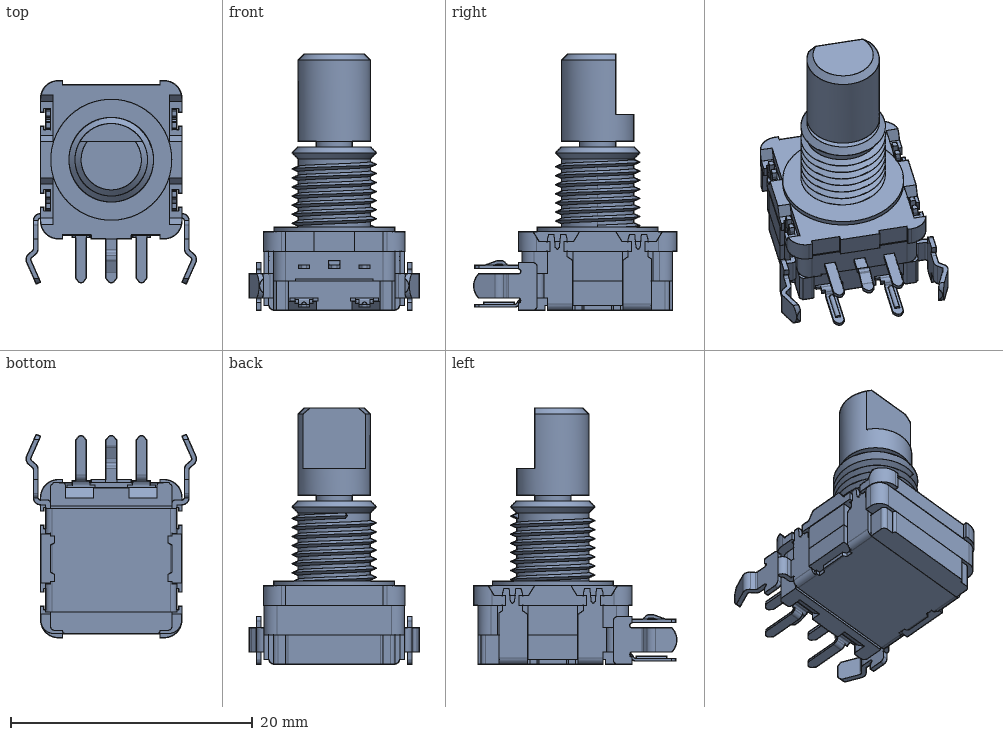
import cadquery as cq
import math

TOTAL_HEIGHT = 21.2
SHAFT_SHOULDER_Z = 13.97
BUSHING_TOP_Z = 13.53
DISC_TOP_Z = 6.9
FLANGE_TOP_Z = 6.5
FLANGE_BOTTOM_Z = 4.88
CASE_SPLIT_Z = 2.44

SHAFT_DIAMETER = 6.0
NECK_DIAMETER = 3.0
SHAFT_CHAMFER = 0.5
FLAT_Y = 1.5
FLAT_BOTTOM_Z = 16.2

THREAD_ROOT_RADIUS = SHAFT_DIAMETER / 2
THREAD_CREST_RADIUS = 3.5
THREAD_TURNS = 7.3
THREAD_HEIGHT = 5.47
THREAD_PITCH = THREAD_HEIGHT / THREAD_TURNS
THREAD_START_Z = 6.83
THREAD_BASE_WIDTH = 0.5
THREAD_EMBED = 0.06

DISC_DIAMETER = 10.0
FLANGE_HALF_X = 5.85
FLANGE_HALF_Y = 6.55
FLANGE_CORNER_RADIUS = 1.5
NOTCH_HALF_X = 4.03
BACK_NOTCH_Y = 6.21
FRONT_NOTCH_Y = -6.17
FRONT_TAB_HALF_X = 1.65

POCKET_INNER_X = 4.83
POCKET_FLOOR_Z = 5.68
POCKET_Y = (1.5, 5.35)
POCKET_SLOPE_RUN = 0.5
SLOT_OUTER_Y = (2.78, 3.92)
SLOT_INNER_Y = (2.48, 4.22)
SLOT_LIP_X = 5.58

SHEET = 0.4
BEND_OUTER_DIAMETER = 1.2
BEND_MID_RADIUS = (BEND_OUTER_DIAMETER - SHEET) / 2
ARM_OUTER_X = 5.43
ARM_INNER_X = ARM_OUTER_X - SHEET
ARM_INNER_Y = 2.08
BACK_ARM_Y = 4.43
FRONT_ARM_Y = -4.15
CURL_RADIUS = 0.5
CLAW_Y = (2.52, 4.15)
CLAW_TOP_Z = 6.28
CLAW_CHAMFER_Y = 0.1
CLAW_CHAMFER_Z = 0.38
CLAW_NOTCH_HALF_TOP = 0.28
CLAW_NOTCH_HALF_BOTTOM = 0.17
CLAW_NOTCH_Z = 5.22
CLAW_NOTCH_TIP = 0.2
SHOULDER_Z = 4.45
SHOULDER_DROP = 0.32
OUTER_SHOULDER_DROP = 0.2
RELIEF_Y = (1.12, 1.89)
RELIEF_SLANT = 0.17
RELIEF_DEPTH = 0.32

FOOT_OUTER_X = 6.45
FOOT_MID_X = FOOT_OUTER_X - SHEET / 2
FOOT_Y = (-6.55, -5.0)
FOOT_TOP_Z = 3.96
FOOT_CORNER_RADIUS = 0.38
LEG_Z = (1.02, 3.03)
LEG_TIP_Y = -10.26
LEG_TIP_START_Y = -9.84
LEG_KINK_Y = -7.55
LEG_ELBOW = (6.93, -8.15)
LEG_END = (6.02, -10.2)
STRAP_Y = -4.65
ARM_CORNER_RADIUS = 0.28
LEG_RELIEF_DIAMETER = 0.38

CASE_FRONT_Y = -6.28
CASE_BACK_Y = 6.2
CASE_CORNER_RADIUS = 1.0
PANEL_HALF_X = 5.8
PANEL_HALF_Y = 2.04
WIDE_BACK_Y = 4.58
WIDE_BACK_CORNER_RADIUS = 1.05
BASE_CHANNEL_Y = (-4.35, BACK_ARM_Y)
EDGE_NOTCH_HALF_X = 3.22
EDGE_NOTCH_DEPTH = 0.42
EDGE_NOTCH_HEIGHT = 0.15

FACE_HALF_X = 3.8
FACE_RECESS = 0.4
RECESSED_FACE_Y = CASE_FRONT_Y + FACE_RECESS
FACE_EDGE_RADIUS = 0.23
FRONT_CORNER_CHAMFER = 0.25
BACK_CORNER_Y = 5.94
BACK_CORNER_RADIUS = 0.35
BACK_RAISED_HALF_X = 4.03
BACK_RAISED_RADIUS = 0.21

PIN_SPACING = 2.5
OUTER_PIN_WIDTH = 0.9
MIDDLE_PIN_WIDTH = 0.93
PIN_TIP_Y = -10.18
PIN_TAPER_Y = -9.8
PIN_NOSE_Y = -10.1
PIN_NOSE_HALF = 0.21
PIN_ROOT_Y = -5.72
UPPER_PIN_Z = 3.6
UPPER_PIN_THICKNESS = 0.3
KINK_RISE = 0.35
KINK_RAMP_Y = (-7.5, -7.87)
KINK_FALL_Y = (-8.3, -9.29)
KINK_RADIUS = 0.17
LOWER_PIN_BEND_RADIUS = 0.38
LOWER_PIN_Z = 0.38
LOWER_PIN_THICKNESS = 0.23
LOWER_PIN_ROOT_Z = 0.9
LOWER_PIN_SLOPE_Y = (-6.35, -6.7)
RIB_Y = (-9.43, -6.9)
RIB_RADIUS = 0.21
RIB_TOP_Z = 0.68
TAB_HALF_X = 1.15
TAB_FRONT_Y = -6.08
TONGUE_HALF_X = 0.75
TONGUE_FRONT_Y = -6.45
PIN_RECESS_X = (1.48, FACE_HALF_X)
PIN_RECESS_TOP_Z = 0.72
PIN_RECESS_DEPTH = 0.85


def block(x, y, z):
    """Box between the given (low, high) limits."""
    size = [high - low for low, high in (x, y, z)]
    return cq.Workplane("XY").box(*size, centered=False).translate((x[0], y[0], z[0]))


def both_sides(shape):
    """Join a shape on the +X side with its mirror image on the -X side."""
    return shape.union(shape.mirror("YZ"))


def rounded_path(plane, points, radius):
    """Polyline whose inner corners are rounded by tangent arcs."""
    path = cq.Workplane(plane).moveTo(*points[0])
    for before, corner, after in zip(points, points[1:], points[2:]):
        heading_in = math.atan2(corner[1] - before[1], corner[0] - before[0])
        heading_out = math.atan2(after[1] - corner[1], after[0] - corner[0])
        turn = math.remainder(heading_out - heading_in, 2 * math.pi)
        setback = radius * math.tan(abs(turn) / 2)
        arc_start = (corner[0] - setback * math.cos(heading_in), corner[1] - setback * math.sin(heading_in))
        arc_end = (corner[0] + setback * math.cos(heading_out), corner[1] + setback * math.sin(heading_out))
        path = path.lineTo(*arc_start).tangentArcPoint(arc_end, relative=False)
    return path.lineTo(*points[-1])


def make_shaft():
    knob = (
        cq.Workplane("XY", origin=(0, 0, SHAFT_SHOULDER_Z))
        .circle(SHAFT_DIAMETER / 2)
        .extrude(TOTAL_HEIGHT - SHAFT_SHOULDER_Z)
        .faces(">Z")
        .chamfer(SHAFT_CHAMFER)
    )
    beyond_flat = block(
        (-SHAFT_DIAMETER, SHAFT_DIAMETER), (FLAT_Y, SHAFT_DIAMETER), (FLAT_BOTTOM_Z, TOTAL_HEIGHT)
    )
    stem = (
        cq.Workplane("XY", origin=(0, 0, FLANGE_BOTTOM_Z))
        .circle(NECK_DIAMETER / 2)
        .extrude(SHAFT_SHOULDER_Z - FLANGE_BOTTOM_Z)
    )
    return knob.cut(beyond_flat).union(stem)


def make_thread():
    inner = THREAD_ROOT_RADIUS - THREAD_EMBED
    half = THREAD_BASE_WIDTH / 2
    helix = cq.Wire.makeHelix(THREAD_PITCH, THREAD_HEIGHT, THREAD_ROOT_RADIUS)
    ridge = (
        cq.Workplane("XZ")
        .polyline([(inner, -half), (THREAD_CREST_RADIUS, 0), (inner, half)])
        .close()
        .sweep(cq.Workplane(helix), isFrenet=True)
    )
    return ridge.translate((0, 0, THREAD_START_Z))


def make_tube():
    crest_height = THREAD_CREST_RADIUS - THREAD_ROOT_RADIUS
    return (
        cq.Workplane("XZ")
        .polyline(
            [
                (0, FLANGE_BOTTOM_Z),
                (THREAD_ROOT_RADIUS, FLANGE_BOTTOM_Z),
                (THREAD_ROOT_RADIUS, BUSHING_TOP_Z - 2 * crest_height),
                (THREAD_CREST_RADIUS, BUSHING_TOP_Z - crest_height),
                (THREAD_ROOT_RADIUS, BUSHING_TOP_Z),
                (0, BUSHING_TOP_Z),
            ]
        )
        .close()
        .revolve(360, (0, 0, 0), (0, 1, 0))
    )


def make_claw_pocket():
    """Sloped-end pocket and T-shaped slot at the +X, +Y corner."""
    low, high = POCKET_Y
    pocket = (
        cq.Workplane("YZ", origin=(POCKET_INNER_X, 0, 0))
        .polyline(
            [
                (low, FLANGE_TOP_Z),
                (low + POCKET_SLOPE_RUN, POCKET_FLOOR_Z),
                (high - POCKET_SLOPE_RUN, POCKET_FLOOR_Z),
                (high, FLANGE_TOP_Z),
            ]
        )
        .close()
        .extrude(FLANGE_HALF_X - POCKET_INNER_X)
    )
    slot_z = (FLANGE_BOTTOM_Z, FLANGE_TOP_Z)
    inner_slot = block((ARM_INNER_X, SLOT_LIP_X), SLOT_INNER_Y, slot_z)
    outer_slot = block((SLOT_LIP_X, FLANGE_HALF_X), SLOT_OUTER_Y, slot_z)
    return pocket.union(inner_slot).union(outer_slot)


def make_bushing():
    flange_z = (FLANGE_BOTTOM_Z, FLANGE_TOP_Z)
    flange = (
        block((-FLANGE_HALF_X, FLANGE_HALF_X), (-FLANGE_HALF_Y, FLANGE_HALF_Y), flange_z)
        .edges("|Z")
        .fillet(FLANGE_CORNER_RADIUS)
    )
    back_notch = block((-NOTCH_HALF_X, NOTCH_HALF_X), (BACK_NOTCH_Y, FLANGE_HALF_Y), flange_z)
    front_notch = block((FRONT_TAB_HALF_X, NOTCH_HALF_X), (-FLANGE_HALF_Y, FRONT_NOTCH_Y), flange_z)
    pockets = both_sides(make_claw_pocket())
    pockets = pockets.union(pockets.mirror("XZ"))
    disc = (
        cq.Workplane("XY", origin=(0, 0, FLANGE_TOP_Z))
        .circle(DISC_DIAMETER / 2)
        .extrude(DISC_TOP_Z - FLANGE_TOP_Z)
    )
    bore = (
        cq.Workplane("XY", origin=(0, 0, FLANGE_BOTTOM_Z))
        .circle(NECK_DIAMETER / 2)
        .extrude(BUSHING_TOP_Z - FLANGE_BOTTOM_Z)
    )
    flange = flange.cut(back_notch).cut(both_sides(front_notch)).cut(pockets)
    return flange.union(disc).union(make_tube()).union(make_thread()).cut(bore)


def pin_outline(width):
    """Plan prism of a terminal with a tapered, rounded nose."""
    half = width / 2
    return (
        cq.Workplane("XY")
        .moveTo(-half, PIN_ROOT_Y)
        .lineTo(-half, PIN_TAPER_Y)
        .lineTo(-PIN_NOSE_HALF, PIN_NOSE_Y)
        .threePointArc((0, PIN_TIP_Y), (PIN_NOSE_HALF, PIN_NOSE_Y))
        .lineTo(half, PIN_TAPER_Y)
        .lineTo(half, PIN_ROOT_Y)
        .close()
        .extrude(FLANGE_BOTTOM_Z)
    )


def bent_strip(points, width, thickness, bend_radius):
    """Flat strip centred on X, bent along (y, z) points; the radius is that of its mid-plane."""
    return (
        cq.Workplane("XZ", origin=(0, points[0][0], points[0][1]))
        .rect(width, thickness)
        .sweep(rounded_path("YZ", points, bend_radius))
    )


def make_straight_pin():
    points = [(PIN_ROOT_Y, UPPER_PIN_Z), (PIN_TIP_Y, UPPER_PIN_Z)]
    strip = bent_strip(points, OUTER_PIN_WIDTH, UPPER_PIN_THICKNESS, KINK_RADIUS)
    return strip.intersect(pin_outline(OUTER_PIN_WIDTH))


def make_kinked_pin():
    top_z = UPPER_PIN_Z + KINK_RISE
    points = [
        (PIN_ROOT_Y, UPPER_PIN_Z),
        (KINK_RAMP_Y[0], UPPER_PIN_Z),
        (KINK_RAMP_Y[1], top_z),
        (KINK_FALL_Y[0], top_z),
        (KINK_FALL_Y[1], UPPER_PIN_Z),
        (PIN_TIP_Y, UPPER_PIN_Z),
    ]
    strip = bent_strip(points, MIDDLE_PIN_WIDTH, UPPER_PIN_THICKNESS, KINK_RADIUS)
    return strip.intersect(pin_outline(MIDDLE_PIN_WIDTH))


def make_lower_pin():
    points = [
        (PIN_ROOT_Y, LOWER_PIN_ROOT_Z),
        (LOWER_PIN_SLOPE_Y[0], LOWER_PIN_ROOT_Z),
        (LOWER_PIN_SLOPE_Y[1], LOWER_PIN_Z),
        (PIN_TIP_Y, LOWER_PIN_Z),
    ]
    rib = (
        cq.Workplane("XZ", origin=(0, RIB_Y[1], RIB_TOP_Z - RIB_RADIUS))
        .circle(RIB_RADIUS)
        .extrude(RIB_Y[1] - RIB_Y[0])
        .intersect(block((-RIB_RADIUS, RIB_RADIUS), RIB_Y, (LOWER_PIN_Z, RIB_TOP_Z)))
    )
    half_sheet = LOWER_PIN_THICKNESS / 2
    tab = block(
        (-TAB_HALF_X, TAB_HALF_X),
        (TAB_FRONT_Y, PIN_ROOT_Y),
        (LOWER_PIN_ROOT_Z - half_sheet, LOWER_PIN_ROOT_Z + half_sheet),
    )
    tongue_limits = block(
        (-TONGUE_HALF_X, TONGUE_HALF_X), (TONGUE_FRONT_Y, PIN_ROOT_Y), (0, CASE_SPLIT_Z)
    )
    strip = bent_strip(points, 2 * TONGUE_HALF_X, LOWER_PIN_THICKNESS, LOWER_PIN_BEND_RADIUS)
    pin = strip.intersect(pin_outline(OUTER_PIN_WIDTH).union(tongue_limits))
    return pin.union(rib).union(tab)


def make_upper_case():
    case_z = (CASE_SPLIT_Z, FLANGE_BOTTOM_Z)
    case = (
        block((-ARM_INNER_X, ARM_INNER_X), (CASE_FRONT_Y, WIDE_BACK_Y), case_z)
        .edges("|Z and <Y")
        .fillet(CASE_CORNER_RADIUS)
    )
    panels = block((-PANEL_HALF_X, PANEL_HALF_X), (-PANEL_HALF_Y, PANEL_HALF_Y), case_z)
    wide_back = (
        block((-PANEL_HALF_X, PANEL_HALF_X), (WIDE_BACK_Y, CASE_BACK_Y), case_z)
        .edges("|Z and >Y")
        .fillet(WIDE_BACK_CORNER_RADIUS)
    )
    edge_notch = block(
        (-EDGE_NOTCH_HALF_X, EDGE_NOTCH_HALF_X),
        (CASE_FRONT_Y, CASE_FRONT_Y + EDGE_NOTCH_DEPTH),
        (CASE_SPLIT_Z, CASE_SPLIT_Z + EDGE_NOTCH_HEIGHT),
    )
    case = case.union(panels).union(wide_back).cut(edge_notch).union(make_kinked_pin())
    return case.union(both_sides(make_straight_pin().translate((PIN_SPACING, 0, 0))))


def make_lower_shell():
    """Case block with a recessed front face and a raised back face."""
    case_z = (0, CASE_SPLIT_Z)
    shell = block((-ARM_INNER_X, ARM_INNER_X), (CASE_FRONT_Y, BACK_CORNER_Y), case_z)
    shell = shell.edges("|Z and <Y").chamfer(FRONT_CORNER_CHAMFER)
    shell = shell.edges("|Z and >Y").fillet(BACK_CORNER_RADIUS)
    raised_back = (
        block((-BACK_RAISED_HALF_X, BACK_RAISED_HALF_X), (0, CASE_BACK_Y), case_z)
        .edges("|Z and >Y")
        .fillet(BACK_RAISED_RADIUS)
    )
    recess = block((-FACE_HALF_X, FACE_HALF_X), (CASE_FRONT_Y, RECESSED_FACE_Y), case_z)
    shell = shell.cut(recess)
    for x in (-FACE_HALF_X, FACE_HALF_X):
        post_edge = cq.selectors.NearestToPointSelector((x, CASE_FRONT_Y, CASE_SPLIT_Z / 2))
        shell = shell.edges(post_edge).fillet(FACE_EDGE_RADIUS)
    return shell.union(raised_back)


def make_lower_case():
    panels = block((-PANEL_HALF_X, PANEL_HALF_X), (-PANEL_HALF_Y, PANEL_HALF_Y), (0, CASE_SPLIT_Z))
    base_channel = block((-PANEL_HALF_X, PANEL_HALF_X), BASE_CHANNEL_Y, (0, SHEET))
    pin_recess = (
        cq.Workplane("YZ", origin=(PIN_RECESS_X[0], 0, 0))
        .polyline(
            [
                (RECESSED_FACE_Y, 0),
                (RECESSED_FACE_Y, PIN_RECESS_TOP_Z),
                (RECESSED_FACE_Y + PIN_RECESS_DEPTH, 0),
            ]
        )
        .close()
        .extrude(PIN_RECESS_X[1] - PIN_RECESS_X[0])
    )
    case = make_lower_shell().union(panels).cut(base_channel).cut(both_sides(pin_recess))
    return case.union(both_sides(make_lower_pin().translate((PIN_SPACING, 0, 0))))


def side_plate(points):
    """Sheet of the +X arm with the given (y, z) outline."""
    return cq.Workplane("YZ", origin=(ARM_INNER_X, 0, 0)).polyline(points).close().extrude(SHEET)


def make_arm(outer_y):
    """Arm on the +X, +Y side, wide up to the shoulder and split into two claws above it."""
    claw_low, claw_high = CLAW_Y
    middle = (claw_low + claw_high) / 2
    chamfer_z = CLAW_TOP_Z - CLAW_CHAMFER_Z
    wide_part = side_plate(
        [
            (ARM_INNER_Y, 0),
            (ARM_INNER_Y, SHOULDER_Z - SHOULDER_DROP),
            (claw_low, SHOULDER_Z),
            (claw_high, SHOULDER_Z),
            (outer_y, SHOULDER_Z - OUTER_SHOULDER_DROP),
            (outer_y, 0),
        ]
    )
    claws = side_plate(
        [
            (claw_low, SHOULDER_Z),
            (claw_low, chamfer_z),
            (claw_low + CLAW_CHAMFER_Y, CLAW_TOP_Z),
            (middle - CLAW_NOTCH_HALF_TOP, CLAW_TOP_Z),
            (middle - CLAW_NOTCH_HALF_BOTTOM, CLAW_NOTCH_Z),
            (middle, CLAW_NOTCH_Z - CLAW_NOTCH_TIP),
            (middle + CLAW_NOTCH_HALF_BOTTOM, CLAW_NOTCH_Z),
            (middle + CLAW_NOTCH_HALF_TOP, CLAW_TOP_Z),
            (claw_high - CLAW_CHAMFER_Y, CLAW_TOP_Z),
            (claw_high, chamfer_z),
            (claw_high, SHOULDER_Z),
        ]
    )
    return wide_part.union(claws)


def make_clip():
    """Strap, foot and sprung leg on the +X side."""
    low, high = LEG_Z
    middle_z = (low + high) / 2
    path_points = [
        (ARM_OUTER_X, STRAP_Y),
        (FOOT_MID_X, STRAP_Y),
        (FOOT_MID_X, LEG_KINK_Y),
        LEG_ELBOW,
        LEG_END,
    ]
    strip = (
        cq.Workplane("YZ", origin=(ARM_OUTER_X, STRAP_Y, middle_z))
        .rect(SHEET, high - low)
        .sweep(rounded_path("XY", path_points, BEND_MID_RADIUS).translate((0, 0, middle_z)))
    )
    rounded_end = (
        cq.Workplane("YZ")
        .moveTo(0, low)
        .lineTo(LEG_TIP_START_Y, low)
        .threePointArc((LEG_TIP_Y, middle_z), (LEG_TIP_START_Y, high))
        .lineTo(0, high)
        .close()
        .extrude(2 * FOOT_OUTER_X)
    )
    foot = (
        block((FOOT_OUTER_X - SHEET, FOOT_OUTER_X), FOOT_Y, (0, FOOT_TOP_Z))
        .edges("|X and >Y")
        .fillet(FOOT_CORNER_RADIUS)
    )
    arm_corner = (
        block((ARM_INNER_X, ARM_OUTER_X), (STRAP_Y - SHEET / 2, FRONT_ARM_Y), LEG_Z)
        .edges("|Z and <X and <Y")
        .fillet(ARM_CORNER_RADIUS)
    )
    relief = cq.Workplane("YZ").circle(LEG_RELIEF_DIAMETER / 2).extrude(FOOT_OUTER_X)
    upper_relief = relief.translate((0, FOOT_Y[0], high + LEG_RELIEF_DIAMETER / 2))
    lower_relief = relief.translate((0, FOOT_Y[0], low - LEG_RELIEF_DIAMETER / 2))
    foot = foot.cut(upper_relief).cut(lower_relief)
    return strip.intersect(rounded_end).union(foot).union(arm_corner)


def make_relief_notch():
    """Edge notch of the base plate beside the +X, +Y arm, with one slanted end."""
    low, high = RELIEF_Y
    inner_x = ARM_INNER_X - RELIEF_DEPTH
    return (
        cq.Workplane("XY")
        .polyline([(ARM_INNER_X, low), (inner_x, low + RELIEF_SLANT), (inner_x, high), (ARM_INNER_X, high)])
        .close()
        .extrude(SHEET)
    )


def make_bracket():
    plate = block((-ARM_INNER_X, ARM_INNER_X), (FRONT_ARM_Y, BACK_ARM_Y), (0, SHEET))
    reliefs = both_sides(make_relief_notch())
    plate = plate.cut(reliefs).cut(reliefs.mirror("XZ"))
    arms = make_arm(BACK_ARM_Y).union(make_arm(-FRONT_ARM_Y).mirror("XZ"))
    curled_envelope = (
        block((-ARM_OUTER_X, ARM_OUTER_X), (FRONT_ARM_Y, BACK_ARM_Y), (0, TOTAL_HEIGHT))
        .edges("|Y and <Z")
        .fillet(CURL_RADIUS)
    )
    frame = plate.union(both_sides(arms)).intersect(curled_envelope)
    return frame.union(both_sides(make_clip()))


shaft = make_shaft()
bushing = make_bushing()
upper_case = make_upper_case()
lower_case = make_lower_case()
bracket = make_bracket()

bodies = [shaft, bushing, upper_case, lower_case, bracket]
result = cq.Compound.makeCompound([body.solids().val() for body in bodies])